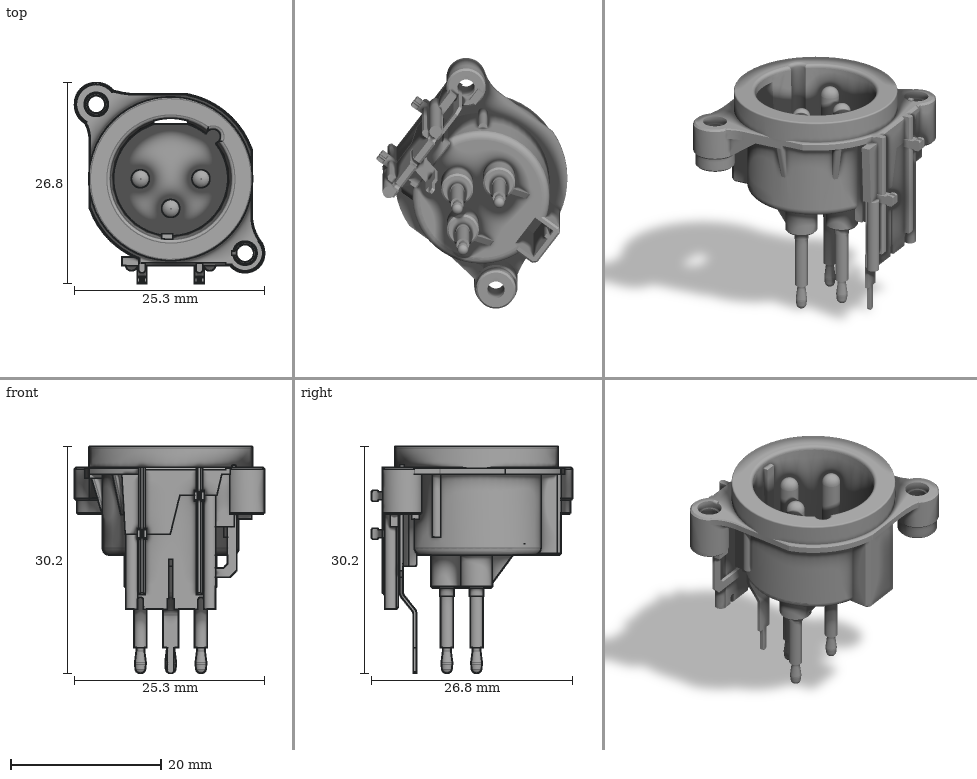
import cadquery as cq
import math


OVERALL_BOTTOM = -27.43
RING_R = 10.9
RING_TOP = 2.8
RING_EDGE = 0.2
BODY_R = 9.1
BODY_BOTTOM = -11.7
BODY_FILLET = 1.0
BORE_TOP_R = 8.1
BORE_FLOOR_R = 7.6
FLOOR_Z = -10.2
RIM_FILLET = 0.45

FLANGE_T = 0.95
FLANGE_EDGE = 0.15
FLANGE_FRONT_EDGE = 0.35
FLANGE_R = 11.5
FLANGE_HALF_WIDTH = 10.85
FLANGE_BACK_Y = 11.3
FLANGE_BACK_LEFT_X = -4.3
FLANGE_BACK_CURVE = (-6.0, 11.4)
FLANGE_RIGHT_END_Y = -4.9
FLANGE_LEFT_END_Y = 5.3
FRONT_EAR_JOIN_ANGLE = 38
REAR_EAR_LEFT_JOIN_ANGLE = 238
REAR_EAR_BACK_JOIN_ANGLE = 40
STIFFENER_BOTTOM = -1.45

EAR_OFFSET = 9.9
REAR_EAR = (-EAR_OFFSET, EAR_OFFSET)
FRONT_EAR = (EAR_OFFSET, -EAR_OFFSET)
REAR_EAR_R = 2.9
FRONT_EAR_R = 2.6
EAR_BOTTOM = -6.28
EAR_EDGE = 0.25
EAR_FOOT_INSET = 0.27
REAR_EAR_STEP_Z = -4.4
EAR_HOLE_R = 1.15
EAR_COUNTERBORE_R = 1.6
EAR_COUNTERBORE_DEPTH = 0.9
EAR_COUNTERBORE_TAPER = 10

KEYWAY_R = 1.0
KEYWAY_OFFSET = 7.95
KEYWAY_ANGLE = 45
LATCH_HALF_WIDTH = 2.25
LATCH_FRONT_Y = 7.3
LATCH_BACK_Y = 10.4
LATCH_TOP = 1.4
LATCH_RIB_LEFT = 0.9
LATCH_RIB_RIGHT = 1.4
LATCH_RIB_FRONT_Y = 9.85
LATCH_BLOCK_HALF_WIDTH = 3.0
LATCH_BLOCK_FRONT_Y = 8.0
LATCH_BLOCK_BACK_Y = 11.25
LATCH_BLOCK_CHAMFER = 0.5
LATCH_BLOCK_FOOT_CHAMFER = 0.25
FLOOR_KEY_LEFT = -1.2
FLOOR_KEY_RIGHT = 0.25
FLOOR_KEY_INNER_Y = -7.35
FLOOR_KEY_TOP = 1.8

WALL_FRONT_Y = -11.56
WALL_BACK_Y = -10.4
PLATE_HALF_WIDTH = 5.45
PLATE_BOTTOM = -18.9
PLATE_CHAMFER = 0.3
SHOULDER_LEFT_X = -6.5
SHOULDER_FOOT_X = -6.05
SHOULDER_BOTTOM = -8.9
SIDE_WALL_RIGHT = 8.44
SIDE_WALL_BOTTOM = -7.95
SEAM_DEPTH = 0.06
SEAM_LOW_X = -0.05
SEAM_MIDDLE_LEFT_X = 1.22
SEAM_MIDDLE_RIGHT_X = 6.15
SEAM_TOP_X = 6.8
BRIDGE_HALF_WIDTH = 3.75
BRIDGE_BACK_Y = -7.95
BRIDGE_NECK_HALF_WIDTH = 3.4
BRIDGE_NECK_Y = -9.0
BRIDGE_FOOT_CHAMFER = 0.2
BRIDGE_BOTTOM = -13.2
COLUMN_R = 0.8
COLUMN_X = 5.2
COLUMN_Y = -11.45
COLUMN_TOPS = {-1: SHOULDER_BOTTOM, 1: -3.75}
RIB_X = 3.82
RIB_W = 0.88
RIB_FRONT_Y = -12.52
RIB_BOTTOM = -16.95
RIB_CHAMFER = 0.25
CLIP_CENTRES = {-1: -8.85, 1: -3.8}
CLIP_FRONT_Y = -14.0
CLIP_W = 1.3
CLIP_NECK_H = 1.1
CLIP_HEAD_H = 1.5
CLIP_HEAD_Y = -13.0
CLIP_SLOT_W = 0.5
CLIP_CORE_W = 0.16
CLIP_CHAMFER = 0.2
SLOT_X = 4.03
SLOT_W = 0.82
SLOT_TOP = -17.3
CENTRE_SLOT_W = 0.5
CENTRE_SLOT_TOP = -12.25
CENTRE_SLOT_WIDE_W = 0.9
CENTRE_SLOT_STEP = -17.5

PIN_X = 4.03
PIN_3_Y = -3.95
PIN_R = 1.2
PIN_DOME_R = 1.15
PIN_TOP = 1.6
BOSS_R = 2.13
BOSS_BOTTOM = -16.1
BOSS_EDGE = 0.25
COLLAR_R = 0.95
COLLAR_BOTTOM = -17.2
ROD_R = 0.86
ROD_BOTTOM = -24.0
NECK_R = 0.55
NECK_BOTTOM = -24.4
BULB_R = 0.75
BULB_TOP = -25.97
BULB_BAND_BOTTOM = -26.2
BULB_BOTTOM = -26.87
BULB_BOTTOM_R = 0.68
BOSS_GUSSET_W = 0.8
BOSS_GUSSET_Y = 4.85
BOSS_GUSSET_BOTTOM = -15.4

GUSSET_ANGLES = (180, 225)
GUSSET_W = 0.95
GUSSET_REACH = 10.7
GUSSET_BOTTOM = -6.35
GUSSET_EDGE = 0.3
EAR_WEB_NEAR_Y = 7.2
EAR_WEB_FAR_Y = 3.3
EAR_WEB_BOTTOM = -4.2
STIFFENER_END_Y = -0.55
STIFFENER_W = 1.9

CONTACT_T = 0.45
CONTACT_HALF_WIDTH = 1.05
CONTACT_TIP_HALF_WIDTH = 0.43
CONTACT_UPPER_Y = -10.23
CONTACT_LOWER_Y = -8.43
CONTACT_BEND_TOP = -17.05
CONTACT_BEND_BOTTOM = -19.3
CONTACT_BEND_R = 0.9
ARM_TOP = -13.4
ARM_BOTTOM = -14.65
ARM_INNER_X = 7.55
ARM_OUTER_X = 8.8
ARM_CORNER_BEVEL = 0.9
ARM_INNER_BEVEL = 0.55
GROUND_TIP_X = 8.42
GROUND_TIP_W = 0.6
GROUND_TIP_TOP = 0.3
GROUND_TIP_FILLET = 0.24
LUG_X0 = 8.9
LUG_X1 = 10.8
LUG_Y0 = -8.6
LUG_Y1 = -7.6
LUG_BOTTOM = -6.9
POST_X = 7.5
POST_Y = -5.3
POST_R = 0.6
POST_BOTTOM = -9.3

SELECT_MARGIN = 0.3
OVERLAP = 0.3


def box(x0, x1, y0, y1, z0, z1):
    return cq.Workplane("XY").box(x1 - x0, y1 - y0, z1 - z0, centered=False).translate((x0, y0, z0))


def cylinder(x, y, r, z0, z1):
    return cq.Workplane("XY", origin=(x, y, z0)).circle(r).extrude(z1 - z0)


def side_prism(points, x0, x1):
    """Extrude a (Y, Z) polygon from x0 to x1."""
    return cq.Workplane("YZ", origin=(x0, 0, 0)).polyline(points).close().extrude(x1 - x0)


def front_prism(points, y_front, y_back):
    """Extrude an (X, Z) polygon from y_front back to y_back."""
    return cq.Workplane("XZ", origin=(0, y_back, 0)).polyline(points).close().extrude(y_back - y_front)


def on_circle(x):
    """Positive Y of the flange circle at x."""
    return math.sqrt(FLANGE_R**2 - x**2)


def ear_point(centre, r, degrees):
    a = math.radians(degrees)
    return (centre[0] + r * math.cos(a), centre[1] + r * math.sin(a))


def flange_slab(thickness):
    side_y = on_circle(FLANGE_HALF_WIDTH)
    back_x = on_circle(FLANGE_BACK_Y)
    diagonal = FLANGE_R / math.sqrt(2)
    front_left_x = -RIB_X - RIB_W / 2
    outline = (
        cq.Workplane("XY", origin=(0, 0, -thickness))
        .moveTo(back_x, FLANGE_BACK_Y)
        .threePointArc((diagonal, diagonal), (FLANGE_HALF_WIDTH, side_y))
        .lineTo(FLANGE_HALF_WIDTH, FLANGE_RIGHT_END_Y)
        .tangentArcPoint(ear_point(FRONT_EAR, FRONT_EAR_R, FRONT_EAR_JOIN_ANGLE), relative=False)
        .lineTo(*FRONT_EAR)
        .lineTo(FRONT_EAR[0], WALL_FRONT_Y)
        .lineTo(front_left_x, WALL_FRONT_Y)
        .lineTo(front_left_x, -on_circle(front_left_x))
        .threePointArc((-diagonal, -diagonal), (-FLANGE_HALF_WIDTH, -side_y))
        .lineTo(-FLANGE_HALF_WIDTH, FLANGE_LEFT_END_Y)
        .tangentArcPoint(ear_point(REAR_EAR, REAR_EAR_R, REAR_EAR_LEFT_JOIN_ANGLE), relative=False)
        .lineTo(*REAR_EAR)
        .lineTo(*ear_point(REAR_EAR, REAR_EAR_R, REAR_EAR_BACK_JOIN_ANGLE))
        .threePointArc(FLANGE_BACK_CURVE, (FLANGE_BACK_LEFT_X, FLANGE_BACK_Y))
        .close()
    )
    return outline.extrude(thickness).faces(">Z").edges().chamfer(FLANGE_EDGE)


def make_flange():
    """Flange plate, thicker along its left side next to the rear ear."""
    thick_side = flange_slab(-STIFFENER_BOTTOM).intersect(
        box(
            -EAR_OFFSET - REAR_EAR_R, STIFFENER_W - FLANGE_HALF_WIDTH,
            STIFFENER_END_Y, EAR_OFFSET, STIFFENER_BOTTOM, 0,
        )
    )
    return flange_slab(FLANGE_T).union(thick_side)


def cut_front_edge(part):
    """Bevel the top edge of the front wall between the left rib and the front ear."""
    x0 = -RIB_X
    x1 = FRONT_EAR[0] - FRONT_EAR_R
    bevel = side_prism(
        [(WALL_FRONT_Y, 0), (WALL_FRONT_Y, -FLANGE_FRONT_EDGE), (WALL_FRONT_Y + FLANGE_FRONT_EDGE, 0)], x0, x1
    )
    return part.cut(bevel)


def make_ears():
    rear = cylinder(*REAR_EAR, REAR_EAR_R, REAR_EAR_STEP_Z, 0).faces("<Z or >Z").edges().chamfer(EAR_EDGE)
    foot_r = REAR_EAR_R - EAR_FOOT_INSET
    foot = cylinder(*REAR_EAR, foot_r, EAR_BOTTOM, REAR_EAR_STEP_Z + OVERLAP)
    foot = foot.faces("<Z").edges().chamfer(EAR_EDGE)
    front = cylinder(*FRONT_EAR, FRONT_EAR_R, EAR_BOTTOM, 0).faces("<Z or >Z").edges().chamfer(EAR_EDGE)
    return rear.union(foot).union(front)


def make_body():
    ring = cylinder(0, 0, RING_R, -FLANGE_EDGE, RING_TOP).faces(">Z").edges().fillet(RING_EDGE)
    cup = cylinder(0, 0, BODY_R, BODY_BOTTOM, 0).faces("<Z").edges().fillet(BODY_FILLET)
    latch_block = box(
        -LATCH_BLOCK_HALF_WIDTH, LATCH_BLOCK_HALF_WIDTH,
        LATCH_BLOCK_FRONT_Y, LATCH_BLOCK_BACK_Y, BODY_BOTTOM, -OVERLAP,
    ).edges("|Z and >Y").chamfer(LATCH_BLOCK_CHAMFER)
    latch_block = latch_block.faces("<Z").edges("not <Y").chamfer(LATCH_BLOCK_FOOT_CHAMFER)
    return ring.union(cup).union(latch_block)


def make_gussets():
    profile = [
        (BODY_R - OVERLAP, -FLANGE_T / 2),
        (GUSSET_REACH, -FLANGE_T / 2),
        (GUSSET_REACH, -FLANGE_T),
        (BODY_R, GUSSET_BOTTOM),
        (BODY_R - OVERLAP, GUSSET_BOTTOM),
    ]
    rib = cq.Workplane("XZ", origin=(0, GUSSET_W / 2, 0)).polyline(profile).close().extrude(GUSSET_W)
    slope_edge_middle = ((GUSSET_REACH + BODY_R) / 2, 0, (GUSSET_BOTTOM - FLANGE_T) / 2)
    slope = cq.selectors.NearestToPointSelector(slope_edge_middle)
    rib = rib.faces(slope).edges("not |Y").fillet(GUSSET_EDGE)
    gussets = cq.Workplane("XY")
    for angle in GUSSET_ANGLES:
        gussets = gussets.union(rib.rotate((0, 0, 0), (0, 0, 1), angle))
    web = side_prism(
        [
            (EAR_WEB_FAR_Y, -FLANGE_T / 2),
            (EAR_WEB_FAR_Y, STIFFENER_BOTTOM),
            (EAR_WEB_NEAR_Y, EAR_WEB_BOTTOM),
            (EAR_WEB_NEAR_Y + OVERLAP, EAR_WEB_BOTTOM),
            (EAR_WEB_NEAR_Y + OVERLAP, -FLANGE_T / 2),
        ],
        -FLANGE_HALF_WIDTH,
        -FLANGE_HALF_WIDTH + STIFFENER_W,
    )
    return gussets.union(web)


def make_wall():
    shoulder = front_prism(
        [
            (SHOULDER_LEFT_X, -FLANGE_T),
            (SHOULDER_FOOT_X, SHOULDER_BOTTOM),
            (0, SHOULDER_BOTTOM),
            (0, -FLANGE_T),
        ],
        WALL_FRONT_Y, WALL_BACK_Y,
    )
    plate = box(-PLATE_HALF_WIDTH, PLATE_HALF_WIDTH, WALL_FRONT_Y, WALL_BACK_Y, PLATE_BOTTOM, -FLANGE_T)
    plate = plate.edges("<Z and >Y").chamfer(PLATE_CHAMFER)
    side = box(0, SIDE_WALL_RIGHT, WALL_FRONT_Y, WALL_BACK_Y, SIDE_WALL_BOTTOM, -FLANGE_T / 2)
    block = box(
        -BRIDGE_HALF_WIDTH, BRIDGE_HALF_WIDTH, BRIDGE_NECK_Y, BRIDGE_BACK_Y, BRIDGE_BOTTOM, -FLANGE_T / 2
    ).edges("<Z and >Y").chamfer(BRIDGE_FOOT_CHAMFER)
    neck = box(
        -BRIDGE_NECK_HALF_WIDTH, BRIDGE_NECK_HALF_WIDTH,
        WALL_BACK_Y, BRIDGE_NECK_Y, BRIDGE_BOTTOM, -FLANGE_T / 2,
    )
    return shoulder.union(plate).union(side).union(block).union(neck)


def cut_wall_seam(part):
    """Sink the lower insert slightly behind the stepped edge of the upper wall."""
    upper, middle, lower = -FLANGE_T, COLUMN_TOPS[1], SHOULDER_BOTTOM
    left, right = -PLATE_HALF_WIDTH, SIDE_WALL_RIGHT
    insert = front_prism(
        [
            (left, lower),
            (SEAM_LOW_X, lower),
            (SEAM_MIDDLE_LEFT_X, middle),
            (SEAM_MIDDLE_RIGHT_X, middle),
            (SEAM_TOP_X, upper),
            (right, upper),
            (right, PLATE_BOTTOM),
            (left, PLATE_BOTTOM),
        ],
        WALL_FRONT_Y, WALL_FRONT_Y + SEAM_DEPTH,
    )
    keep = cylinder(*FRONT_EAR, FRONT_EAR_R, EAR_BOTTOM, 0)
    return part.cut(insert.cut(keep))


def cut_wall_slots(part):
    for side in (-1, 1):
        x = side * SLOT_X
        round_z = SLOT_TOP - SLOT_W / 2
        slot = box(x - SLOT_W / 2, x + SLOT_W / 2, WALL_FRONT_Y, WALL_BACK_Y, PLATE_BOTTOM, round_z)
        crown = (
            cq.Workplane("XZ", origin=(x, WALL_BACK_Y, round_z))
            .circle(SLOT_W / 2).extrude(WALL_BACK_Y - WALL_FRONT_Y)
        )
        part = part.cut(slot).cut(crown)
    for width, top in ((CENTRE_SLOT_W, CENTRE_SLOT_TOP), (CENTRE_SLOT_WIDE_W, CENTRE_SLOT_STEP)):
        part = part.cut(box(-width / 2, width / 2, WALL_FRONT_Y, WALL_BACK_Y, PLATE_BOTTOM, top))
    return part


def make_columns_and_ribs():
    pieces = cq.Workplane("XY")
    for side in (-1, 1):
        pieces = pieces.union(cylinder(side * COLUMN_X, COLUMN_Y, COLUMN_R, PLATE_BOTTOM, COLUMN_TOPS[side]))
        x = side * RIB_X
        rib = box(x - RIB_W / 2, x + RIB_W / 2, RIB_FRONT_Y, WALL_FRONT_Y + OVERLAP, RIB_BOTTOM, 0)
        pieces = pieces.union(rib.edges("<Y and (|Z or <Z)").chamfer(RIB_CHAMFER))
        pieces = pieces.union(make_clip(x, CLIP_CENTRES[side]))
    return pieces


def make_clip(x, z):
    """Split snap clip with a thin core between its prongs, pointing out of a rib."""
    half_neck = CLIP_NECK_H / 2
    half_head = CLIP_HEAD_H / 2
    neck = box(x - CLIP_W / 2, x + CLIP_W / 2, CLIP_FRONT_Y, WALL_FRONT_Y, z - half_neck, z + half_neck)
    head = box(x - CLIP_W / 2, x + CLIP_W / 2, CLIP_FRONT_Y, CLIP_HEAD_Y, z - half_head, z + half_head)
    clip = neck.union(head.edges("|X").chamfer(CLIP_CHAMFER))
    half_slot = CLIP_SLOT_W / 2
    half_core = CLIP_CORE_W / 2
    slot = box(x - half_slot, x + half_slot, CLIP_FRONT_Y, CLIP_HEAD_Y, z - half_head, z + half_head)
    core = box(x - half_core, x + half_core, CLIP_FRONT_Y, CLIP_HEAD_Y, z - half_neck, z + half_neck)
    return clip.cut(slot.cut(core))


def cut_bore(part):
    bore = (
        cq.Workplane("XY", origin=(0, 0, FLOOR_Z)).circle(BORE_FLOOR_R)
        .workplane(offset=RING_TOP - FLOOR_Z).circle(BORE_TOP_R).loft()
    )
    a = math.radians(KEYWAY_ANGLE)
    keyway = cylinder(
        KEYWAY_OFFSET * math.cos(a), KEYWAY_OFFSET * math.sin(a), KEYWAY_R, FLOOR_Z, RING_TOP
    )
    part = part.cut(bore.union(keyway))
    rim_reach = RING_R - 2 * SELECT_MARGIN
    rim = cq.selectors.BoxSelector(
        (-rim_reach, -rim_reach, RING_TOP - SELECT_MARGIN / 2),
        (rim_reach, rim_reach, RING_TOP + SELECT_MARGIN / 2),
        True,
    )
    part = part.edges(rim).fillet(RIM_FILLET)
    recess = box(-LATCH_HALF_WIDTH, LATCH_HALF_WIDTH, LATCH_FRONT_Y, LATCH_BACK_Y, BODY_BOTTOM, LATCH_TOP)
    rib = box(LATCH_RIB_LEFT, LATCH_RIB_RIGHT, LATCH_RIB_FRONT_Y, LATCH_BACK_Y, BODY_BOTTOM, LATCH_TOP)
    return part.cut(recess.cut(rib))


def cut_ear_holes(part):
    for x, y in (REAR_EAR, FRONT_EAR):
        part = part.cut(cylinder(x, y, EAR_HOLE_R, EAR_BOTTOM, 0))
        counterbore = (
            cq.Workplane("XY", origin=(x, y, 0)).circle(EAR_COUNTERBORE_R)
            .extrude(-EAR_COUNTERBORE_DEPTH, taper=EAR_COUNTERBORE_TAPER)
        )
        part = part.cut(counterbore)
    return part


def make_pin(x, y):
    """Domed contact pin, its boss below the cup floor and its turned solder tail."""
    contact = cylinder(0, 0, PIN_R, FLOOR_Z - OVERLAP, PIN_TOP).faces(">Z").edges().fillet(PIN_DOME_R)
    boss = cylinder(0, 0, BOSS_R, BOSS_BOTTOM, BODY_BOTTOM + OVERLAP).faces("<Z").edges().chamfer(BOSS_EDGE)
    tip_height = BULB_BOTTOM - OVERALL_BOTTOM
    tip_sphere_r = (BULB_BOTTOM_R**2 + tip_height**2) / (2 * tip_height)
    half_r = BULB_BOTTOM_R / 2
    tip_middle = (half_r, OVERALL_BOTTOM + tip_sphere_r - math.sqrt(tip_sphere_r**2 - half_r**2))
    tail = (
        cq.Workplane("XZ")
        .moveTo(0, BOSS_BOTTOM + OVERLAP)
        .lineTo(COLLAR_R, BOSS_BOTTOM + OVERLAP)
        .lineTo(COLLAR_R, COLLAR_BOTTOM)
        .lineTo(ROD_R, COLLAR_BOTTOM)
        .lineTo(ROD_R, ROD_BOTTOM)
        .lineTo(NECK_R, ROD_BOTTOM)
        .lineTo(NECK_R, NECK_BOTTOM)
        .lineTo(BULB_R, BULB_TOP)
        .lineTo(BULB_R, BULB_BAND_BOTTOM)
        .lineTo(BULB_BOTTOM_R, BULB_BOTTOM)
        .threePointArc(tip_middle, (0, OVERALL_BOTTOM))
        .close()
        .revolve(360, (0, 0, 0), (0, 1, 0))
    )
    return contact.union(boss).union(tail).translate((x, y, 0))


def make_pins():
    pins = cq.Workplane("XY")
    for x, y in ((-PIN_X, 0), (PIN_X, 0), (0, PIN_3_Y)):
        pins = pins.union(make_pin(x, y))
    for x in (-PIN_X, PIN_X):
        gusset = side_prism(
            [
                (BOSS_GUSSET_Y, BODY_BOTTOM),
                (BOSS_R, BOSS_GUSSET_BOTTOM),
                (BOSS_R - OVERLAP, BOSS_GUSSET_BOTTOM),
                (BOSS_R - OVERLAP, BODY_BOTTOM),
            ],
            x - BOSS_GUSSET_W / 2, x + BOSS_GUSSET_W / 2,
        )
        pins = pins.union(gusset)
    return pins


def make_floor_key():
    """Key standing on the floor along the front of the bore."""
    return box(
        FLOOR_KEY_LEFT, FLOOR_KEY_RIGHT, -BORE_TOP_R, FLOOR_KEY_INNER_Y, FLOOR_Z, FLOOR_KEY_TOP
    )


def make_ground_contact():
    """Sheet-metal contact: a hooked arm behind the wall and a joggled solder tail."""
    y_front = CONTACT_UPPER_Y
    y_back = y_front + CONTACT_T
    tail_back = CONTACT_LOWER_Y + CONTACT_T
    strip_top = BRIDGE_BOTTOM + OVERLAP
    turn = math.atan2(CONTACT_LOWER_Y - y_front, CONTACT_BEND_TOP - CONTACT_BEND_BOTTOM)
    mitre = CONTACT_T * math.tan(turn / 2)
    strip = side_prism(
        [
            (y_front, strip_top),
            (y_front, CONTACT_BEND_TOP),
            (CONTACT_LOWER_Y, CONTACT_BEND_BOTTOM),
            (CONTACT_LOWER_Y, OVERALL_BOTTOM),
            (tail_back, OVERALL_BOTTOM),
            (tail_back, CONTACT_BEND_BOTTOM + mitre),
            (y_back, CONTACT_BEND_TOP + mitre),
            (y_back, strip_top),
        ],
        -CONTACT_HALF_WIDTH, CONTACT_HALF_WIDTH,
    )
    bends = cq.selectors.BoxSelector(
        (-CONTACT_HALF_WIDTH, y_front - SELECT_MARGIN, CONTACT_BEND_BOTTOM - SELECT_MARGIN),
        (CONTACT_HALF_WIDTH, tail_back + SELECT_MARGIN, CONTACT_BEND_TOP + mitre + SELECT_MARGIN),
    )
    strip = strip.edges("|X").edges(bends).fillet(CONTACT_BEND_R)
    for side in (-1, 1):
        x0, x1 = sorted((side * CONTACT_TIP_HALF_WIDTH, side * CONTACT_HALF_WIDTH))
        strip = strip.cut(box(x0, x1, CONTACT_LOWER_Y, tail_back, OVERALL_BOTTOM, ROD_BOTTOM))
    strip = strip.edges("|Y and <Z").chamfer(CONTACT_TIP_HALF_WIDTH / 2)
    arm = front_prism(
        [
            (-CONTACT_HALF_WIDTH, ARM_TOP),
            (ARM_INNER_X - ARM_INNER_BEVEL, ARM_TOP),
            (ARM_INNER_X, ARM_TOP + ARM_INNER_BEVEL),
            (ARM_INNER_X, -FLANGE_T),
            (ARM_OUTER_X, -FLANGE_T),
            (ARM_OUTER_X, ARM_BOTTOM),
            (-CONTACT_HALF_WIDTH, ARM_BOTTOM),
        ],
        y_front, y_back,
    )
    arm = arm.edges("|Y and >X and <Z").chamfer(ARM_CORNER_BEVEL)
    return strip.union(arm)


def make_ground_tip():
    """Contact tip showing beside the front ear hole, and the lug and post under the flange."""
    half = GROUND_TIP_W / 2
    tip = box(
        GROUND_TIP_X - half, GROUND_TIP_X + half,
        FRONT_EAR[1] - half, FRONT_EAR[1] + half, -FLANGE_T, GROUND_TIP_TOP,
    ).edges("|Y and >Z").fillet(GROUND_TIP_FILLET)
    post = cylinder(POST_X, POST_Y, POST_R, POST_BOTTOM, -FLANGE_T / 2)
    return tip.union(post).union(box(LUG_X0, LUG_X1, LUG_Y0, LUG_Y1, LUG_BOTTOM, -FLANGE_T / 2))


housing = make_body().union(make_flange()).union(make_ears()).union(make_gussets()).union(make_wall())
housing = cut_front_edge(housing)
housing = cut_wall_seam(housing)
housing = cut_wall_slots(housing)
housing = cut_bore(housing)
housing = housing.union(make_columns_and_ribs()).union(make_ground_tip())
housing = cut_ear_holes(housing)
result = housing.union(make_pins()).union(make_floor_key()).union(make_ground_contact())